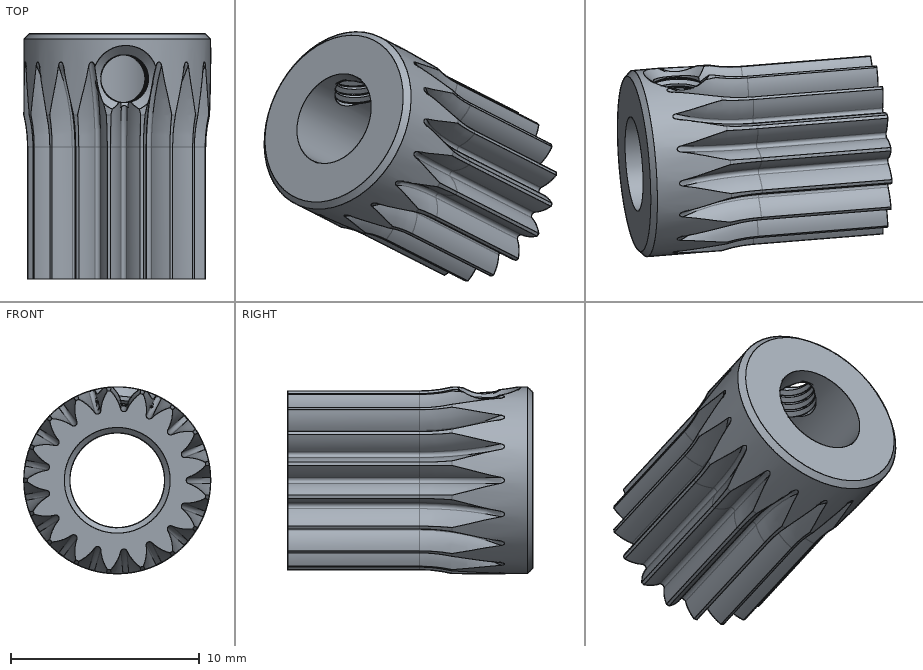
import cadquery as cq
import math

LENGTH = 13.0
COLLAR_RADIUS = 4.95
BORE_RADIUS = 5.0 / 2
EDGE_CHAMFER = 0.3

TOOTH_COUNT = 17
TOOTH_STEP = 360.0 / TOOTH_COUNT
TIP_RADIUS = 9.5 / 2
ROOT_RADIUS = 7.3 / 2
STRAIGHT_LENGTH = 7.0
ROOT_CUTTER_RADIUS = 8.42

ROOT_ROUND_DEPTH = 0.09
ROOT_HALF_WIDTH = 0.15
FLANK_MIDDLE = (4.22, 0.39)
FLANK_TIP = (4.68, 0.78)
GAP_OVERRUN = 0.52

SCREW_GAP_INDEX = 4
SCREW_Y = 10.61
THREAD_MINOR_RADIUS = 2.54 / 2
THREAD_MAJOR_RADIUS = 3.08 / 2
THREAD_PITCH = 0.5
THREAD_GROOVE_COUNT = 4
OUTER_GROOVE_RADIUS = 4.04
GROOVE_MOUTH = THREAD_PITCH * 3 / 4
GROOVE_FLOOR = THREAD_PITCH / 8
SCREW_CHAMFER = 0.5

CLEARANCE = 0.26
RUN_OUT_SWEEP = 60.0
CUTTER_AXIS = ROOT_RADIUS + ROOT_CUTTER_RADIUS


def make_blank():
    """Turned blank: tooth tip cylinder, arc up to the collar, chamfered back edge."""
    neck_radius = CUTTER_AXIS - TIP_RADIUS
    collar_drop = CUTTER_AXIS - COLLAR_RADIUS
    neck_end = STRAIGHT_LENGTH + math.sqrt(neck_radius**2 - collar_drop**2)
    half_angle = math.acos(collar_drop / neck_radius) / 2
    neck_middle = (
        CUTTER_AXIS - neck_radius * math.cos(half_angle),
        STRAIGHT_LENGTH + neck_radius * math.sin(half_angle),
    )
    return (
        cq.Workplane("ZY")
        .moveTo(0, 0)
        .lineTo(TIP_RADIUS, 0)
        .lineTo(TIP_RADIUS, STRAIGHT_LENGTH)
        .threePointArc(neck_middle, (COLLAR_RADIUS, neck_end))
        .lineTo(COLLAR_RADIUS, LENGTH - EDGE_CHAMFER)
        .lineTo(COLLAR_RADIUS - EDGE_CHAMFER, LENGTH)
        .lineTo(0, LENGTH)
        .close()
        .revolve(360, (0, 0, 0), (0, 1, 0))
    )


def gap_section(y):
    """Tooth gap on the +X side, drawn in the plane at the given Y."""
    flank_root = (ROOT_RADIUS + ROOT_ROUND_DEPTH, ROOT_HALF_WIDTH)
    outer = (FLANK_TIP[0] + GAP_OVERRUN, FLANK_TIP[1] + GAP_OVERRUN)
    return (
        cq.Workplane("XZ", origin=(0, y, 0))
        .moveTo(flank_root[0], -flank_root[1])
        .threePointArc((ROOT_RADIUS, 0), flank_root)
        .threePointArc(FLANK_MIDDLE, FLANK_TIP)
        .lineTo(*outer)
        .lineTo(outer[0], -outer[1])
        .lineTo(FLANK_TIP[0], -FLANK_TIP[1])
        .threePointArc((FLANK_MIDDLE[0], -FLANK_MIDDLE[1]), (flank_root[0], -flank_root[1]))
        .close()
    )


def make_gap_cutter():
    """Straight gap followed by the curved run-out."""
    straight = gap_section(STRAIGHT_LENGTH).extrude(STRAIGHT_LENGTH + CLEARANCE)
    run_out = gap_section(STRAIGHT_LENGTH).revolve(
        RUN_OUT_SWEEP, (CUTTER_AXIS, 0.13, 0), (CUTTER_AXIS, 0, 0)
    )
    return straight.union(run_out)


def make_bore():
    """Through bore with a chamfer at the toothed end."""
    bore_mouth = BORE_RADIUS + EDGE_CHAMFER
    return (
        cq.Workplane("XY")
        .polyline([
            (0, 0),
            (bore_mouth, 0),
            (BORE_RADIUS, EDGE_CHAMFER),
            (BORE_RADIUS, LENGTH),
            (0, LENGTH),
        ])
        .close()
        .revolve(360, (0, 0, 0), (0, 1, 0))
    )


def drill_screw_hole(body):
    """Drill from the axis out through the +X side and bevel the mouth evenly along its edge."""
    drill_plane = cq.Plane(origin=(0, SCREW_Y, 0), xDir=(0, -1, 0), normal=(1, 0, 0))
    drill = cq.Workplane(drill_plane).circle(THREAD_MINOR_RADIUS)
    drilled = body.cut(drill.extrude(COLLAR_RADIUS + CLEARANCE))
    mouth = cq.selectors.BoxSelector(
        (COLLAR_RADIUS - THREAD_MINOR_RADIUS, SCREW_Y - THREAD_MINOR_RADIUS, -THREAD_MINOR_RADIUS),
        (COLLAR_RADIUS + CLEARANCE, SCREW_Y + THREAD_MINOR_RADIUS, THREAD_MINOR_RADIUS),
    )
    return drilled.edges(mouth).chamfer(SCREW_CHAMFER)


def make_thread_groove(index):
    """One ring-shaped thread groove around the screw hole axis, counted from the outside."""
    middle = OUTER_GROOVE_RADIUS - index * THREAD_PITCH
    return (
        cq.Workplane("XY", origin=(middle, SCREW_Y, 0))
        .polyline([
            (-GROOVE_MOUTH / 2, 0),
            (-GROOVE_MOUTH / 2, THREAD_MINOR_RADIUS),
            (-GROOVE_FLOOR / 2, THREAD_MAJOR_RADIUS),
            (GROOVE_FLOOR / 2, THREAD_MAJOR_RADIUS),
            (GROOVE_MOUTH / 2, THREAD_MINOR_RADIUS),
            (GROOVE_MOUTH / 2, 0),
        ])
        .close()
        .revolve(360, (0, 0, 0), (1, 0, 0))
    )


def turn(tool, gap_index):
    """Rotate a tool from the +X side to the given gap, towards +Z."""
    return tool.rotate((0, 0, 0), (0, 1, 0), -gap_index * TOOTH_STEP)


result = turn(drill_screw_hole(make_blank()), SCREW_GAP_INDEX)
gap_cutter = make_gap_cutter()
for gap in range(TOOTH_COUNT):
    result = result.cut(turn(gap_cutter, gap))
for groove in range(THREAD_GROOVE_COUNT):
    result = result.cut(turn(make_thread_groove(groove), SCREW_GAP_INDEX))
result = result.cut(make_bore())